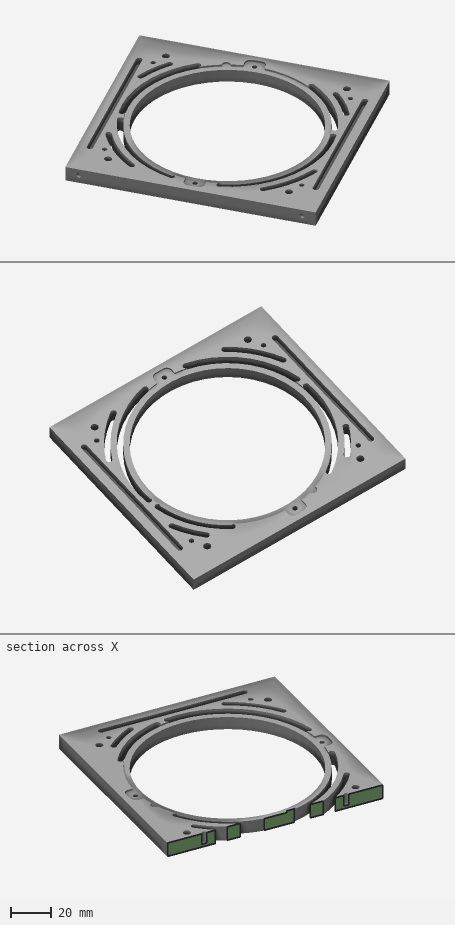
import cadquery as cq
import math

PLATE_X = 130.0
PLATE_Y = 120.36
PLATE_T = 8.0

BORE_RADIUS = 48.4
RECESS_RADIUS = 51.6
RECESS_DEPTH = 1.0

EAR_ANGLES = (93.0, 270.0)
EAR_WIDTH = 10.8
EAR_REACH = 56.9
EAR_CORNER_RADIUS = 3.0
EAR_HOLE_RADIUS = 52.7

BUMP_ANGLE = 108.4
BUMP_RADIUS = 2.2

SLOT_WIDTH = 3.2
RING_SLOT_RADIUS = RECESS_RADIUS + SLOT_WIDTH / 2
CORNER_SLOT_RADIUS = 59.5
RING_SLOT_ANGLES = ((13.3, 56.3), (123.7, 186.7), (193.3, 256.5), (283.5, 366.7))
CORNER_SLOT_ANGLES = ((26.1, 43.6), (136.4, 153.9), (206.1, 235.1), (304.9, 333.9))

GROOVE_X = 58.65
GROOVE_LENGTH = 83.1
GROOVE_DEPTH = 4.0

MOUNT_HOLE_DIAMETER = 4.0
MOUNT_HOLE_OFFSET = 47.0
SCREW_HOLE_DIAMETER = 2.7
SCREW_HOLE_DEPTH = 6.0
SCREW_HOLE_X = 51.2
SCREW_HOLE_Y = 39.55

SIDE_HOLE_X = 58.0
SIDE_HOLE_Z = 4.5
SIDE_HOLE_DIAMETER = 2.5
SIDE_HOLE_DEPTH = 10.0


def polar(radius, angle):
    """Point at a radius and an angle in degrees about the bore axis."""
    return (radius * math.cos(math.radians(angle)), radius * math.sin(math.radians(angle)))


def top_plane(depth):
    """Sketch plane at a depth below the top face."""
    return cq.Workplane("XY").workplane(offset=PLATE_T - depth)


def plate_with_bore():
    plate = cq.Workplane("XY").box(PLATE_X, PLATE_Y, PLATE_T, centered=(True, True, False))
    bore = cq.Workplane("XY").circle(BORE_RADIUS).extrude(PLATE_T)
    return plate.cut(bore)


def ear(angle):
    """Recess ear: a rounded tab from the bore axis outward to EAR_REACH."""
    tab = (
        top_plane(RECESS_DEPTH)
        .center(EAR_REACH / 2, 0)
        .rect(EAR_REACH, EAR_WIDTH)
        .extrude(RECESS_DEPTH)
        .edges("|Z and >X")
        .fillet(EAR_CORNER_RADIUS)
    )
    return tab.rotate((0, 0, 0), (0, 0, 1), angle)


def recess():
    pocket = top_plane(RECESS_DEPTH).circle(RECESS_RADIUS).extrude(RECESS_DEPTH)
    for angle in EAR_ANGLES:
        pocket = pocket.union(ear(angle))
    bump = (
        top_plane(RECESS_DEPTH)
        .center(*polar(RECESS_RADIUS, BUMP_ANGLE))
        .circle(BUMP_RADIUS)
        .extrude(RECESS_DEPTH)
    )
    return pocket.union(bump)


def curved_slot(radius, start, end):
    """Through slot following an arc about the bore axis, with round ends."""
    inner = radius - SLOT_WIDTH / 2
    outer = radius + SLOT_WIDTH / 2
    middle = (start + end) / 2
    cap_angle = math.degrees(SLOT_WIDTH / 2 / radius)
    return (
        cq.Workplane("XY")
        .moveTo(*polar(inner, start))
        .threePointArc(polar(inner, middle), polar(inner, end))
        .threePointArc(polar(radius, end + cap_angle), polar(outer, end))
        .threePointArc(polar(outer, middle), polar(outer, start))
        .threePointArc(polar(radius, start - cap_angle), polar(inner, start))
        .close()
        .extrude(PLATE_T)
    )


def side_grooves():
    return (
        top_plane(GROOVE_DEPTH)
        .pushPoints([(-GROOVE_X, 0), (GROOVE_X, 0)])
        .slot2D(GROOVE_LENGTH, SLOT_WIDTH, 90)
        .extrude(GROOVE_DEPTH)
    )


def mount_holes():
    spacing = 2 * MOUNT_HOLE_OFFSET
    return (
        cq.Workplane("XY")
        .rarray(spacing, spacing, 2, 2)
        .circle(MOUNT_HOLE_DIAMETER / 2)
        .extrude(PLATE_T)
    )


def screw_holes():
    """Blind holes from the top: four by the corners and one in each ear."""
    places = [(x, y) for x in (-SCREW_HOLE_X, SCREW_HOLE_X) for y in (-SCREW_HOLE_Y, SCREW_HOLE_Y)]
    places += [polar(EAR_HOLE_RADIUS, angle) for angle in EAR_ANGLES]
    return (
        top_plane(SCREW_HOLE_DEPTH)
        .pushPoints(places)
        .circle(SCREW_HOLE_DIAMETER / 2)
        .extrude(SCREW_HOLE_DEPTH)
    )


def side_holes():
    return (
        cq.Workplane("XZ", origin=(0, -PLATE_Y / 2, 0))
        .pushPoints([(-SIDE_HOLE_X, SIDE_HOLE_Z), (SIDE_HOLE_X, SIDE_HOLE_Z)])
        .circle(SIDE_HOLE_DIAMETER / 2)
        .extrude(-SIDE_HOLE_DEPTH)
    )


result = plate_with_bore().cut(recess())
for start, end in RING_SLOT_ANGLES:
    result = result.cut(curved_slot(RING_SLOT_RADIUS, start, end))
for start, end in CORNER_SLOT_ANGLES:
    result = result.cut(curved_slot(CORNER_SLOT_RADIUS, start, end))
result = result.cut(side_grooves()).cut(mount_holes()).cut(screw_holes()).cut(side_holes())